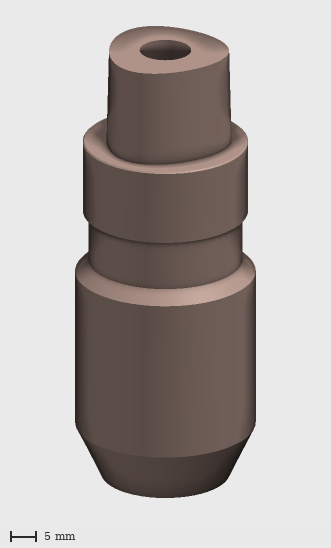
import cadquery as cq
import math

total_height = 89.0
nose_height = 10.7
body_top = 42.5
collar_bottom = 55.0
collar_top = 70.0

nose_radius = 12.5
body_radius = 17.49
neck_radius = 14.95
collar_radius = 16.0
bore_radius = 5.0

collar_chamfer = 0.3
shoulder_height = body_radius - neck_radius
neck_bottom = body_top + shoulder_height

shank_base_radius = 12.1
shank_taper = 1 / 40
lobe_offset = 0.7
shank_height = total_height - collar_top
shank_top_radius = shank_base_radius - shank_taper * shank_height
lobe_samples = 48


def turned_body():
    """Revolve the nose, body and neck, up to the underside of the collar."""
    profile = [
        (0, 0),
        (nose_radius, 0),
        (body_radius, nose_height),
        (body_radius, body_top),
        (neck_radius, neck_bottom),
        (neck_radius, collar_bottom),
        (0, collar_bottom),
    ]
    return cq.Workplane("XZ").polyline(profile).close().revolve(360, (0, 0, 0), (0, 1, 0))


def collar():
    """Plain ring section with both rims chamfered."""
    return (
        cq.Workplane("XY", origin=(0, 0, collar_bottom))
        .circle(collar_radius)
        .extrude(collar_top - collar_bottom)
        .edges()
        .chamfer(collar_chamfer)
    )


def lobed_wire(mean_radius, height):
    """Closed three-lobed trochoid with one lobe pointing along -X."""
    points = []
    for index in range(lobe_samples):
        angle = 2 * math.pi * index / lobe_samples
        x = -mean_radius * math.cos(angle) - lobe_offset * math.cos(2 * angle)
        y = -mean_radius * math.sin(angle) + lobe_offset * math.sin(2 * angle)
        points.append(cq.Vector(x, y, height))
    return cq.Wire.assembleEdges([cq.Edge.makeSpline(points, periodic=True)])


def shank():
    """Ruled taper between the lobed base and the lobed top."""
    base = lobed_wire(shank_base_radius, collar_top)
    top = lobed_wire(shank_top_radius, total_height)
    return cq.Workplane(cq.Solid.makeLoft([base, top], True))


def bore():
    """Straight hole through the full height."""
    return cq.Workplane("XY").circle(bore_radius).extrude(total_height)


result = turned_body().union(collar()).union(shank()).cut(bore())